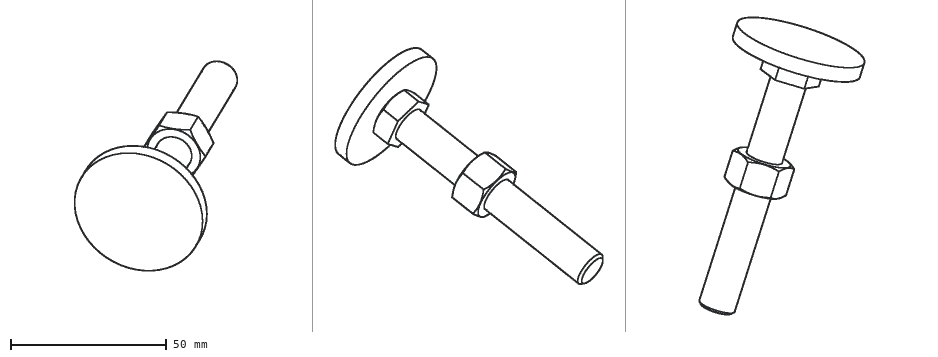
import cadquery as cq
import math

total_length = 92.5

pad_diameter = 43.0
pad_thickness = 5.0

rod_diameter = 12.0
rod_chamfer = 0.9

head_across_flats = 17.0
head_thickness = 7.3
head_seat_diameter = 16.3

nut_across_flats = 18.0
nut_thickness = 10.8
nut_seat_diameter = 17.8
nut_start = 40.0

hex_chamfer_angle = 30.0

pad_face_y = -total_length / 2
head_start_y = pad_face_y + pad_thickness
nut_start_y = pad_face_y + nut_start


def cylinder(start_y, diameter, length):
    """Round bar along +Y."""
    plane = cq.Plane(origin=(0, start_y, 0), xDir=(1, 0, 0), normal=(0, 1, 0))
    return cq.Workplane(plane).circle(diameter / 2).extrude(length)


def hexagon(start_y, across_flats, seat_diameter, length, chamfer_far_end):
    """Hexagonal prism along +Y, corners on X, chamfered at the near end and optionally the far end."""
    across_corners = across_flats / math.cos(math.radians(30))
    seat_radius = seat_diameter / 2
    corner_radius = across_corners / 2
    drop = (corner_radius - seat_radius) * math.tan(math.radians(hex_chamfer_angle))
    end_y = start_y + length

    plane = cq.Plane(origin=(0, start_y, 0), xDir=(1, 0, 0), normal=(0, 1, 0))
    prism = cq.Workplane(plane).polygon(6, across_corners).extrude(length)

    envelope = cq.Workplane("XY").moveTo(0, start_y).lineTo(seat_radius, start_y)
    envelope = envelope.lineTo(corner_radius, start_y + drop)
    if chamfer_far_end:
        envelope = envelope.lineTo(corner_radius, end_y - drop).lineTo(seat_radius, end_y)
    else:
        envelope = envelope.lineTo(corner_radius, end_y)
    envelope = envelope.lineTo(0, end_y).close().revolve(360, (0, 0, 0), (0, 1, 0))
    return prism.intersect(envelope)


def make_pad():
    return cylinder(pad_face_y, pad_diameter, pad_thickness)


def make_stud():
    """Rod with a hexagonal head that rests on the pad."""
    rod = cylinder(head_start_y, rod_diameter, total_length - pad_thickness)
    rod = rod.faces(">Y").chamfer(rod_chamfer)
    head = hexagon(head_start_y, head_across_flats, head_seat_diameter, head_thickness, chamfer_far_end=False)
    return rod.union(head).solids()


def make_nut():
    """Lock nut whose bore fits the rod."""
    body = hexagon(nut_start_y, nut_across_flats, nut_seat_diameter, nut_thickness, chamfer_far_end=True)
    return body.cut(cylinder(nut_start_y, rod_diameter, nut_thickness)).solids()


pad = make_pad()
stud = make_stud()
nut = make_nut()

result = cq.Compound.makeCompound([pad.val(), stud.val(), nut.val()])